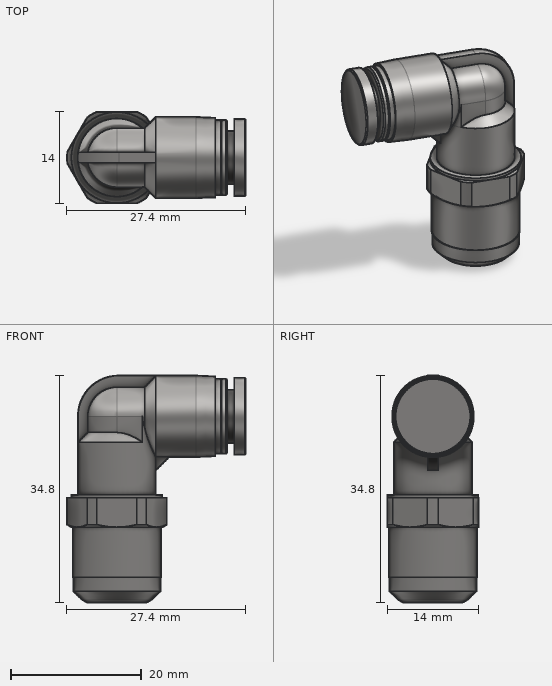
import cadquery as cq

overall_height = 34.75
socket_radius = 6.25
axis_height = overall_height - socket_radius

tip_radius = 4.52
tip_edge_radius = 5.3
tip_edge_height = 0.45
nose_radius = 6.67
nose_bottom = 1.77
thread_radius = 6.78
thread_bottom = 3.93
hex_bottom = 11.55
hex_top = 16.05
collar_radius = 6.95
collar_top = 16.5
body_radius = 5.98
body_top = 24.57

across_flats = 14.0
hex_corner_radius = 7.65
hex_chamfer_height = 0.4

elbow_radius = 4.52
shoulder_height = body_radius - elbow_radius
socket_start = 5.98
socket_cone_start = socket_start - (socket_radius - elbow_radius)

taper_start = 12.05
socket_end = 15.05
socket_end_radius = 6.1
sleeve_end = 16.9
sleeve_radius = 5.77
sleeve_chamfer = 0.25
groove_start = 15.85
groove_width = 0.2
groove_depth = 0.17
ring_start = 17.93
ring_end = 19.75
ring_radius = 5.9
ring_chamfer = 0.2
ring_neck_radius = 4.1

rib_thickness = 1.55
gusset_size = 1.98


def revolved_stem():
    profile = [
        (0, 0),
        (tip_radius, 0),
        (tip_edge_radius, tip_edge_height),
        (nose_radius, nose_bottom),
        (nose_radius, thread_bottom),
        (thread_radius, thread_bottom),
        (thread_radius, hex_top),
        (collar_radius, hex_top),
        (collar_radius, collar_top),
        (body_radius, collar_top),
        (body_radius, body_top),
        (elbow_radius, body_top + shoulder_height),
        (elbow_radius, axis_height),
        (0, axis_height),
    ]
    return cq.Workplane("XZ").polyline(profile).close().revolve(360, (0, 0), (0, 1))


def hexagon():
    prism = (
        cq.Workplane("XY", origin=(0, 0, hex_bottom))
        .polygon(6, across_flats, circumscribed=True)
        .extrude(hex_top - hex_bottom)
        .rotate((0, 0, 0), (0, 0, 1), 30)
    )
    envelope = (
        cq.Workplane("XY", origin=(0, 0, hex_bottom))
        .circle(hex_corner_radius)
        .extrude(hex_top - hex_bottom)
        .faces("<Z")
        .chamfer(hex_chamfer_height, hex_corner_radius - collar_radius)
    )
    return prism.intersect(envelope)


def elbow():
    ball = cq.Workplane("XY", origin=(0, 0, axis_height)).sphere(elbow_radius)
    cheeks = cq.Workplane("XY", origin=(0, 0, body_top)).box(
        body_radius, 2 * elbow_radius, axis_height - body_top, centered=(False, True, False)
    )
    stem_outline = cq.Workplane("XY").circle(body_radius).extrude(overall_height)
    return ball.union(cheeks.intersect(stem_outline))


def revolved_socket():
    groove_end = groove_start + groove_width
    groove_radius = sleeve_radius - groove_depth
    profile = [
        (0, 0),
        (0, elbow_radius),
        (socket_cone_start, elbow_radius),
        (socket_start, socket_radius),
        (taper_start, socket_radius),
        (socket_end, socket_end_radius),
        (socket_end, sleeve_radius),
        (groove_start, sleeve_radius),
        (groove_start, groove_radius),
        (groove_end, groove_radius),
        (groove_end, sleeve_radius),
        (sleeve_end - sleeve_chamfer, sleeve_radius),
        (sleeve_end, sleeve_radius - sleeve_chamfer),
        (sleeve_end, ring_neck_radius),
        (ring_start, ring_neck_radius),
        (ring_start, ring_radius),
        (ring_end - ring_chamfer, ring_radius),
        (ring_end, ring_radius - ring_chamfer),
        (ring_end, 0),
    ]
    return (
        cq.Workplane("XZ", origin=(0, 0, axis_height))
        .polyline(profile)
        .close()
        .revolve(360, (0, 0), (1, 0))
    )


def rib():
    socket_bottom = axis_height - socket_radius
    plate = (
        cq.Workplane("XZ")
        .moveTo(-body_radius, body_top)
        .lineTo(-body_radius, axis_height)
        .radiusArc((socket_radius - body_radius, overall_height), socket_radius)
        .lineTo(socket_start, overall_height)
        .lineTo(socket_start, body_top)
        .close()
        .extrude(rib_thickness / 2, both=True)
    )
    gusset = (
        cq.Workplane("XZ")
        .moveTo(0, socket_bottom - gusset_size)
        .lineTo(body_radius, socket_bottom - gusset_size)
        .lineTo(body_radius + 2 * gusset_size, socket_bottom + gusset_size)
        .lineTo(0, socket_bottom + gusset_size)
        .close()
        .extrude(rib_thickness / 2, both=True)
    )
    return plate.union(gusset)


result = revolved_stem().union(hexagon()).union(elbow()).union(revolved_socket()).union(rib())